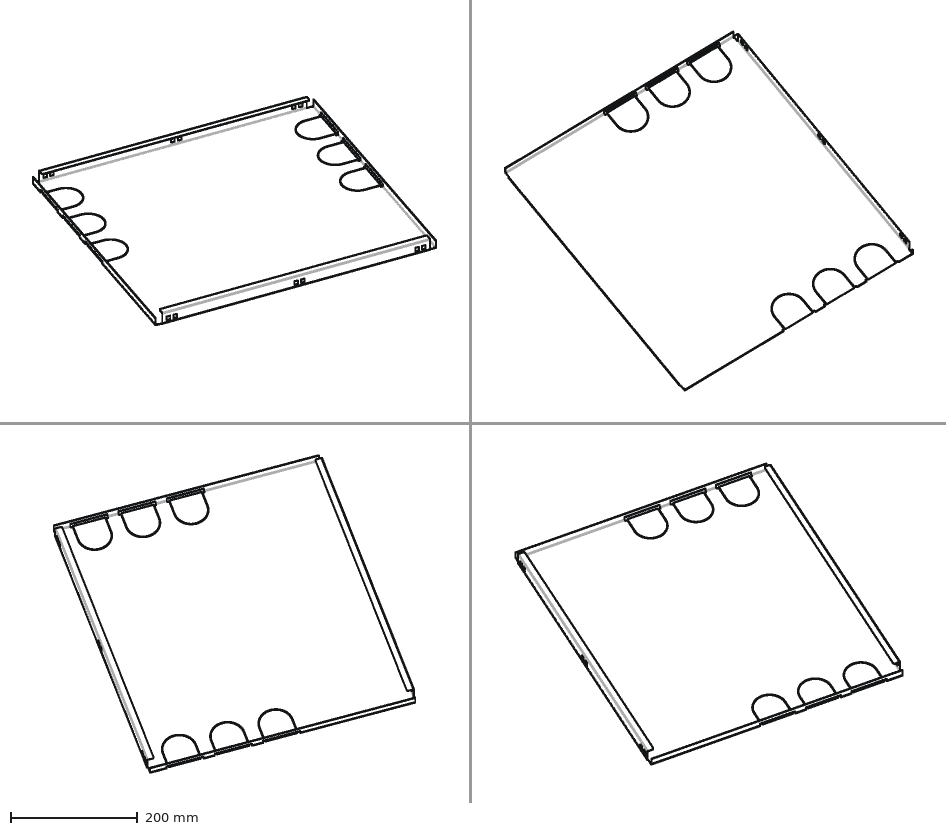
import cadquery as cq

width = 443.5
depth = 494.0
height = 22.0
sheet = 1.5
bend_radius = 2.0
inner_bend_radius = bend_radius - sheet

corner_gap = 12.0
side_wall_length = depth - 2 * corner_gap
lip_width = 12.0
lip_corner = 2.5

end_wall_height = 14.0
end_wall_length = width - 2 * bend_radius

notch_length = 2.0
notch_depth = 1.0
notch_y = depth / 2 - bend_radius - notch_length / 2

tongue_count = 3
tongue_pitch = 80.0
last_tongue_x = -1.75
tongue_setback = 2.2
tongue_end_y = depth / 2 - tongue_setback

slit_width = 1.0
slit_outer_radius = 27.5
slit_inner_radius = slit_outer_radius - slit_width
slit_reach = 58.0
slit_arc_y = depth / 2 - slit_reach + slit_outer_radius
tab_width = 1.0
tab_setback = 25.5
tab_y = depth / 2 - tab_setback

wall_opening_width = 61.8
wall_opening_height = 6.0
wall_opening_depth = 2 * bend_radius

hole_size = 6.5
hole_height = 9.0
hole_pitch = 12.0
outer_hole_y = 224.5
hole_pair_starts = [-outer_hole_y, 0, outer_hole_y - hole_pitch]


def box(x_size, y_size, z_size, x, y, z):
    """Box centred on x and y, standing on height z."""
    return cq.Workplane("XY").box(x_size, y_size, z_size, centered=(True, True, False)).translate((x, y, z))


def side_channel():
    """Floor with both side walls and their lips, folded from one sheet."""
    outer = box(width, side_wall_length, height, 0, 0, 0).edges("|Y").fillet(bend_radius)
    inner = box(width - 2 * sheet, side_wall_length, height - 2 * sheet, 0, 0, sheet)
    inner = inner.edges("|Y").fillet(inner_bend_radius)
    top_gap = box(width - 2 * lip_width, side_wall_length, height, 0, 0, height / 2)
    channel = outer.cut(inner).cut(top_gap)
    lip_ends = cq.selectors.BoxSelector(
        (-width / 2 + lip_width - sheet, -depth, height - 2 * sheet),
        (width / 2 - lip_width + sheet, depth, height + sheet),
    )
    return channel.edges("|Z").edges(lip_ends).fillet(lip_corner)


def end_channel():
    """Floor with the front and back walls."""
    outer = box(end_wall_length, depth, end_wall_height, 0, 0, 0).edges("|X and <Z").fillet(bend_radius)
    inner = box(end_wall_length, depth - 2 * sheet, end_wall_height, 0, 0, sheet)
    inner = inner.edges("|X and <Z").fillet(inner_bend_radius)
    return outer.cut(inner)


def tongue_shape(radius):
    """Floor-thick tongue, round at the inner end and square at the back wall."""
    return (
        cq.Workplane("XY")
        .moveTo(-radius, tongue_end_y)
        .lineTo(-radius, slit_arc_y)
        .threePointArc((0, slit_arc_y - radius), (radius, slit_arc_y))
        .lineTo(radius, tongue_end_y)
        .close()
        .extrude(sheet)
    )


def tongue_cut():
    """Material removed around one back tongue: wall opening and tabbed U slit."""
    opening_y = (depth - wall_opening_depth) / 2
    opening = box(wall_opening_width, wall_opening_depth, wall_opening_height, 0, opening_y, 0)
    tongue = tongue_shape(slit_inner_radius)
    slit = tongue_shape(slit_outer_radius).cut(tongue)
    tabs = box(2 * slit_outer_radius, tab_width, sheet, 0, tab_y, 0)
    return opening.cut(tongue).union(slit.cut(tabs))


tray = side_channel().union(end_channel())

back_cut = tongue_cut()
front_cut = back_cut.mirror("XZ")
for i in range(tongue_count):
    tongue_x = last_tongue_x - i * tongue_pitch
    tray = tray.cut(back_cut.translate((tongue_x, 0, 0)))
    tray = tray.cut(front_cut.translate((tongue_x, 0, 0)))

for x in (-end_wall_length / 2, end_wall_length / 2):
    for y in (-notch_y, notch_y):
        tray = tray.cut(box(2 * notch_depth, notch_length, sheet, x, y, 0))

for pair_start in hole_pair_starts:
    for y in (pair_start, pair_start + hole_pitch):
        tray = tray.cut(box(2 * width, hole_size, hole_size, 0, y, hole_height - hole_size / 2))

result = tray